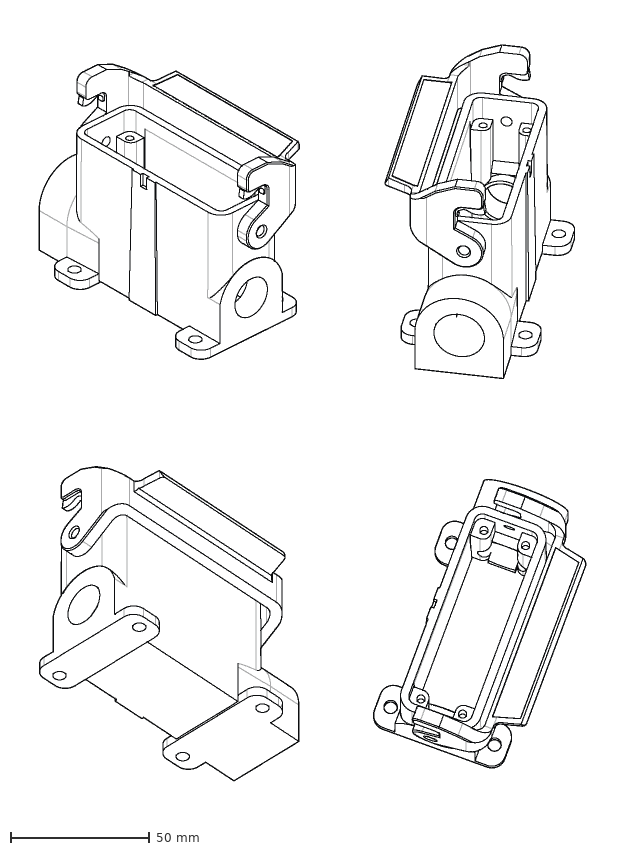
import cadquery as cq
import math

SIDES = (-1, 1)
ARC_MIDDLE = 1 - math.sqrt(0.5)

base_z = 0.9
rim_z = 57.0
half_length = 40.2
half_width = 15.5
corner_radius = 6.5
draft = 0.3
shell_height = rim_z - base_z

floor_z = 3.9
cavity_half_length = 37.1
cavity_half_width = 12.1
cavity_corner_radius = 3.0
panel_half_length = 29.1
panel_top_z = 51.6
panel_thickness = 0.8
embed = 0.5

column_top_z = 47.6
column_inner_x = 29.6
column_inner_y = 5.2
column_edge_radius = 3.0
screw_x = 33.0
screw_y = 8.0
screw_diameter = 2.9
screw_depth = 8.0
end_wall_x = 33.8

entry_z = 17.0
entry_face_x = -55.0
entry_radius = 16.3
entry_root_x = -24.0
entry_root_radius = 15.5
entry_bore_diameter = 18.6
far_radius = 15.8
far_start_x = half_length - corner_radius
far_bore_diameter = 16.0

foot_thickness = 3.9
foot_length = 16.2
foot_reach = 25.1
foot_radius = 5.0
foot_hole_diameter = 4.8
foot_hole_y = 20.0

rib_half_width_top = 6.0
rib_half_width_base = 7.0
rib_y_top = 15.8
rib_y_base = 16.4
notch_width = 3.1
notch_height = 5.0
notch_depth = 1.2

pivot_y = 0.2
pivot_z = 47.5
pivot_diameter = 4.0
pivot_boss_diameter = 7.0

arm_inner_x = 40.3
arm_outer_x = 45.5
arm_edge_chamfer = 0.5
arm_eye_radius = 7.1
bail_inner_y = 18.1
bail_outer_y = 21.1
bail_bottom_z = 52.4
bail_top_z = 65.3
bail_outer_radius = 7.2
bail_inner_radius = 3.9
bail_dip_radius = 3.0
bail_dip_start_y = 14.6
lever_top_z = 75.6
crest_y = 10.8
crest_z = 72.6
hook_y = -6.8
slot_y = 3.4
slot_top_z = 66.6
slot_bottom_z = 57.3
slot_radius = 2.7
hook_radius = 3.1
hook_tip_radius = 1.7
dimple_diameter = 5.1
dimple_depth = 0.8
latch_x = 42.7
latch_width = 2.4
latch_foot_y = 2.5
latch_foot_z = 61.7
latch_wave = [(2.6, 63.7), (0.1, 65.0), (-2.1, 64.0), (-5.2, 63.4), (-7.3, 64.0)]

tab_end_y = 32.0
tab_root_half_length = 36.1
tab_flare_x = 34.7
tab_flare_y = 22.1
tab_waist_half_length = 34.0
tab_waist_y = 24.1
tab_corner_half_length = 32.5
tab_round_x = 32.0
tab_round_y = 31.5
tab_end_half_length = 30.9
tab_end_z = 63.6
tab_lip_y = 30.4
tab_lip_z = 67.0
tab_haunch_y = 22.1
tab_haunch_z = 62.1
tab_root_z = 60.3
pocket_depth = 0.2
pocket_start = -1.5
pocket_end = 8.4
pocket_root_half_length = 33.1
pocket_end_half_length = 30.6


def box(x0, x1, y0, y1, z0, z1):
    """Box between two opposite corners."""
    return cq.Workplane("XY").box(x1 - x0, y1 - y0, z1 - z0, centered=False).translate((x0, y0, z0))


def cylinder_x(diameter, x0, x1, y, z):
    """Cylinder along X from x0 to x1."""
    return cq.Workplane("YZ", origin=(x0, y, z)).circle(diameter / 2).extrude(x1 - x0)


def extrude_x(outline, x0, x1):
    """Extrude a closed YZ outline from x0 to x1."""
    return outline.extrude(x1 - x0).translate((x0, 0, 0))


def shell_block():
    """Drafted outer block with round vertical corners."""
    outline = cq.Sketch().rect(2 * half_length, 2 * half_width).vertices().fillet(corner_radius)
    block = cq.Workplane("XY", origin=(0, 0, base_z))
    return block.placeSketch(outline).extrude(shell_height, taper=draft)


def arch(plane, radius):
    """Outline with a flat bottom at z = 0, upright sides and a semicircular top."""
    return (
        plane.moveTo(-radius, 0)
        .lineTo(radius, 0)
        .lineTo(radius, entry_z)
        .threePointArc((0, entry_z + radius), (-radius, entry_z))
        .close()
    )


def near_entry():
    """Cable entry, straight outside the shell and narrowing into its long walls."""
    spout = arch(cq.Workplane("YZ", origin=(entry_face_x, 0, 0)), entry_radius)
    spout = spout.extrude(-half_length - entry_face_x)
    root = arch(cq.Workplane("YZ", origin=(-half_length, 0, 0)), entry_radius)
    root = arch(root.workplane(offset=entry_root_x + half_length), entry_root_radius).loft(ruled=True)
    return spout.union(root)


def long_wall_limits():
    """Prism between the planes of the two drafted long walls."""
    rim_half_width = half_width - shell_height * math.tan(math.radians(draft))
    return (
        cq.Workplane("YZ")
        .polyline([
            (-half_width, base_z),
            (half_width, base_z),
            (rim_half_width, rim_z),
            (-rim_half_width, rim_z),
        ])
        .close()
        .extrude(half_length)
    )


def far_entry():
    """Arched pad that squares off the opposite end, flush with the long walls."""
    pad = arch(cq.Workplane("YZ", origin=(far_start_x, 0, 0)), far_radius).extrude(half_length - far_start_x)
    return pad.intersect(long_wall_limits())


def foot_pair(side):
    """Strip across one end of the base whose two ends are the mounting ears."""
    return (
        cq.Workplane("XY", origin=(side * (half_length - foot_length / 2), 0, 0))
        .rect(foot_length, 2 * foot_reach)
        .extrude(foot_thickness)
        .edges("|Z")
        .fillet(foot_radius)
        .faces(">Z")
        .workplane()
        .pushPoints([(0, foot_hole_y), (0, -foot_hole_y)])
        .hole(foot_hole_diameter)
    )


def front_rib():
    """Rib down the middle of the front wall, widening and deepening towards the base."""
    return (
        cq.Workplane("XY", origin=(0, -rib_y_base / 2, base_z))
        .rect(2 * rib_half_width_base, rib_y_base)
        .workplane(offset=shell_height)
        .center(0, (rib_y_base - rib_y_top) / 2)
        .rect(2 * rib_half_width_top, rib_y_top)
        .loft(ruled=True)
    )


def rib_notch():
    """Small slot in the top of the rib."""
    return box(-notch_width / 2, notch_width / 2, -rib_y_base, notch_depth - rib_y_top,
               rim_z - notch_height, rim_z)


def cavity():
    """Open-topped inside of the shell, before columns and walls are added."""
    return (
        cq.Workplane("XY", origin=(0, 0, floor_z))
        .rect(2 * cavity_half_length, 2 * cavity_half_width)
        .extrude(rim_z - floor_z)
        .edges("|Z")
        .fillet(cavity_corner_radius)
    )


def wall_panel(side):
    """Stretch of one long wall that slopes inward from its top edge down to the floor."""
    outline = [
        (cavity_half_width, panel_top_z),
        (cavity_half_width - panel_thickness, floor_z),
        (cavity_half_width - panel_thickness, floor_z - embed),
        (cavity_half_width + embed, floor_z - embed),
        (cavity_half_width + embed, panel_top_z),
    ]
    wedge = cq.Workplane("YZ").polyline([(side * y, z) for y, z in outline]).close()
    return wedge.extrude(panel_half_length, both=True)


def column(side_x, side_y):
    """Screw column standing in one corner of the cavity."""
    block = box(column_inner_x, cavity_half_length + embed, column_inner_y, cavity_half_width + embed,
                floor_z - embed, column_top_z)
    block = block.edges("|Z and <X and <Y").fillet(column_edge_radius)
    if side_x < 0:
        block = block.mirror("YZ")
    if side_y < 0:
        block = block.mirror("XZ")
    return block


def screw_hole(side_x, side_y):
    """Blind screw hole with a conical end."""
    radius = screw_diameter / 2
    return (
        cq.Workplane("XZ")
        .polyline([(0, 0), (radius, 0), (radius, -screw_depth), (0, -screw_depth - radius)])
        .close()
        .revolve(360, (0, 0, 0), (0, 1, 0))
        .translate((side_x * screw_x, side_y * screw_y, column_top_z))
    )


def end_wall(side):
    """End wall between two columns: slopes inward at 45 degrees down to the bore, then drops straight."""
    outer_x = cavity_half_length + embed
    slope_end_z = entry_z + entry_bore_diameter / 2
    slope_start_z = slope_end_z + cavity_half_length - end_wall_x
    outline = [
        (outer_x, slope_start_z),
        (cavity_half_length, slope_start_z),
        (end_wall_x, slope_end_z),
        (end_wall_x, floor_z - embed),
        (outer_x, floor_z - embed),
    ]
    wall = cq.Workplane("XZ").polyline([(side * x, z) for x, z in outline]).close()
    return wall.extrude(column_inner_y, both=True)


def build_housing():
    body = shell_block()
    body = body.union(near_entry()).union(far_entry()).union(front_rib())
    for side in SIDES:
        body = body.union(foot_pair(side))
    body = body.cut(cavity())

    for side in SIDES:
        body = body.union(wall_panel(side)).union(end_wall(side))
    for side_x in SIDES:
        for side_y in SIDES:
            body = body.union(column(side_x, side_y)).cut(screw_hole(side_x, side_y))

    body = body.union(box(-cavity_half_length - embed, -column_inner_x, -column_inner_y, column_inner_y,
                          floor_z - embed, entry_z))
    body = body.union(cylinder_x(entry_bore_diameter, column_inner_x, end_wall_x + embed, 0, entry_z))

    body = body.cut(cylinder_x(entry_bore_diameter, entry_face_x, -column_inner_x, 0, entry_z))
    body = body.cut(cylinder_x(far_bore_diameter, column_inner_x, half_length, 0, entry_z))

    for side in SIDES:
        inner_x = side * cavity_half_length
        face_x = side * arm_inner_x
        body = body.union(cylinder_x(pivot_boss_diameter, inner_x, face_x, pivot_y, pivot_z))
        body = body.cut(cylinder_x(pivot_diameter, inner_x, face_x, pivot_y, pivot_z))

    return body.cut(rib_notch())


def lever_plan():
    """U-shaped block: two arms joined by the bail, over the full lever height."""
    outer = box(-arm_outer_x, arm_outer_x, hook_y, bail_outer_y, 0, lever_top_z)
    outer = outer.edges("|Z and >Y").fillet(bail_outer_radius)
    inner = box(-arm_inner_x, arm_inner_x, hook_y, bail_inner_y, 0, lever_top_z)
    inner = inner.edges("|Z and >Y").fillet(bail_inner_radius)
    return outer.cut(inner)


def eye_point(angle):
    """Point on the rounded pivot eye; the angle is in radians from +Y."""
    return pivot_y + arm_eye_radius * math.cos(angle), pivot_z + arm_eye_radius * math.sin(angle)


def eye_tangent_angle(y, z, turn):
    """Angle on the pivot eye where a straight edge from (y, z) touches it."""
    distance = math.hypot(y - pivot_y, z - pivot_z)
    direction = math.atan2(z - pivot_z, y - pivot_y)
    return direction + turn * math.acos(arm_eye_radius / distance)


def lever_side():
    """Side outline of the lever: hook, slot, pivot eye and sloping back."""
    upper_tangent = eye_tangent_angle(slot_y, slot_bottom_z, 1)
    lower_tangent = eye_tangent_angle(bail_outer_y, bail_bottom_z, -1)
    hook_bend = hook_radius * ARC_MIDDLE
    tip_bend = hook_tip_radius * ARC_MIDDLE
    slot_bend = slot_radius * ARC_MIDDLE
    outline = (
        cq.Workplane("YZ")
        .moveTo(slot_y, lever_top_z)
        .lineTo(hook_y + hook_radius, lever_top_z)
        .threePointArc((hook_y + hook_bend, lever_top_z - hook_bend), (hook_y, lever_top_z - hook_radius))
        .lineTo(hook_y, slot_top_z + hook_tip_radius)
        .threePointArc((hook_y + tip_bend, slot_top_z + tip_bend), (hook_y + hook_tip_radius, slot_top_z))
        .lineTo(slot_y - slot_radius, slot_top_z)
        .threePointArc((slot_y - slot_bend, slot_top_z - slot_bend), (slot_y, slot_top_z - slot_radius))
        .lineTo(slot_y, slot_bottom_z)
        .lineTo(*eye_point(upper_tangent))
        .threePointArc(eye_point(math.pi), eye_point(lower_tangent))
        .lineTo(bail_outer_y, bail_bottom_z)
        .lineTo(bail_outer_y, bail_top_z)
        .lineTo(crest_y, crest_z)
        .close()
    )
    block = extrude_x(outline, -arm_outer_x, arm_outer_x)
    return block.faces("<X or >X").chamfer(arm_edge_chamfer)


def bail_dip():
    """Space above the bail, rounded where it meets the arms."""
    return (
        box(-arm_inner_x, arm_inner_x, bail_dip_start_y, bail_outer_y, bail_top_z, lever_top_z)
        .edges("|Y and <Z")
        .fillet(bail_dip_radius)
    )


def finger_tab():
    """Tab rising gently behind the bail, with flared root and round end corners."""
    inside_bail_y = (bail_inner_y + bail_outer_y) / 2
    profile = (
        cq.Workplane("YZ")
        .polyline([
            (inside_bail_y, bail_top_z),
            (bail_outer_y, bail_top_z),
            (tab_lip_y, tab_lip_z),
            (tab_end_y, tab_end_z),
            (tab_haunch_y, tab_haunch_z),
            (bail_outer_y, tab_root_z),
            (inside_bail_y, tab_root_z),
        ])
        .close()
    )
    block = extrude_x(profile, -tab_root_half_length, tab_root_half_length)
    return block.intersect(tab_half_plan(1).union(tab_half_plan(-1)))


def tab_half_plan(side):
    """Upright block over one half of the tab: flared root, slanting side, round end corner."""
    return (
        cq.Workplane("XY")
        .moveTo(0, bail_inner_y)
        .lineTo(side * tab_root_half_length, bail_inner_y)
        .lineTo(side * tab_root_half_length, bail_outer_y)
        .threePointArc((side * tab_flare_x, tab_flare_y), (side * tab_waist_half_length, tab_waist_y))
        .lineTo(side * tab_corner_half_length, tab_lip_y)
        .threePointArc((side * tab_round_x, tab_round_y), (side * tab_end_half_length, tab_end_y))
        .lineTo(0, tab_end_y)
        .close()
        .extrude(lever_top_z)
    )


def tab_pocket():
    """Shallow panel sunk into the top of the tab, parallel to its slope."""
    slope = math.degrees(math.atan2(tab_lip_z - bail_top_z, tab_lip_y - bail_outer_y))
    return (
        cq.Workplane("XY")
        .polyline([
            (-pocket_root_half_length, pocket_start),
            (pocket_root_half_length, pocket_start),
            (pocket_end_half_length, pocket_end),
            (-pocket_end_half_length, pocket_end),
        ])
        .close()
        .extrude(lever_top_z - bail_top_z)
        .rotate((0, 0, 0), (1, 0, 0), slope)
        .translate((0, bail_outer_y, bail_top_z - pocket_depth))
    )


def latch_spring(side):
    """Narrow springy nose lining the hook slot of one arm."""
    nose = (
        cq.Workplane("YZ")
        .moveTo(slot_y + embed, slot_top_z + embed)
        .lineTo(slot_y + embed, latch_foot_z)
        .lineTo(latch_foot_y, latch_foot_z)
        .spline(latch_wave, includeCurrent=True)
        .lineTo(hook_y, slot_top_z + embed)
        .close()
    )
    middle_x = side * latch_x
    return extrude_x(nose, middle_x - latch_width / 2, middle_x + latch_width / 2)


def pivot_dimple(side):
    """Conical dimple in the outer face of one arm."""
    return (
        cq.Workplane("YZ", origin=(side * arm_outer_x, pivot_y, pivot_z))
        .circle(dimple_diameter / 2)
        .workplane(offset=-side * dimple_depth)
        .circle(pivot_diameter / 2)
        .loft()
    )


def build_lever():
    lever = lever_plan().intersect(lever_side())
    lever = lever.cut(bail_dip()).union(finger_tab()).cut(tab_pocket())
    for side in SIDES:
        pin = cylinder_x(pivot_diameter, side * cavity_half_length, side * (arm_inner_x + embed),
                         pivot_y, pivot_z)
        lever = lever.union(latch_spring(side)).union(pin).cut(pivot_dimple(side))
    return lever


housing = build_housing()
lever = build_lever()
result = cq.Compound.makeCompound([housing.solids().val(), lever.solids().val()])